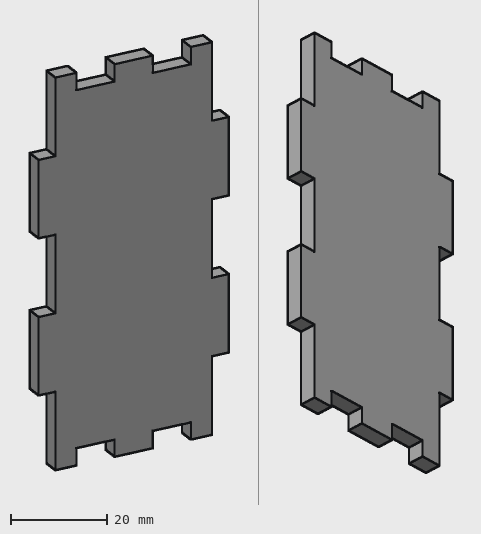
import cadquery as cq

height = 90.0
width = 45.0
thickness = 4.0

finger_count = 5
side_pitch = height / finger_count
end_pitch = width / finger_count
notch_depth = thickness


def notches(size_y, size_z, centers):
    """Full-thickness blocks that cut the gaps between fingers."""
    return (
        cq.Workplane("YZ")
        .pushPoints(centers)
        .rect(size_y, size_z)
        .extrude(thickness / 2, both=True)
    )


panel = cq.Workplane("XY").box(thickness, width, height)

side_y = (width - notch_depth) / 2
side_centers = [
    (sign * side_y, step * side_pitch)
    for sign in (-1, 1)
    for step in (-2, 0, 2)
]

end_z = (height - notch_depth) / 2
end_centers = [
    (step * end_pitch, sign * end_z)
    for sign in (-1, 1)
    for step in (-1, 1)
]

result = (
    panel
    .cut(notches(notch_depth, side_pitch, side_centers))
    .cut(notches(end_pitch, notch_depth, end_centers))
)